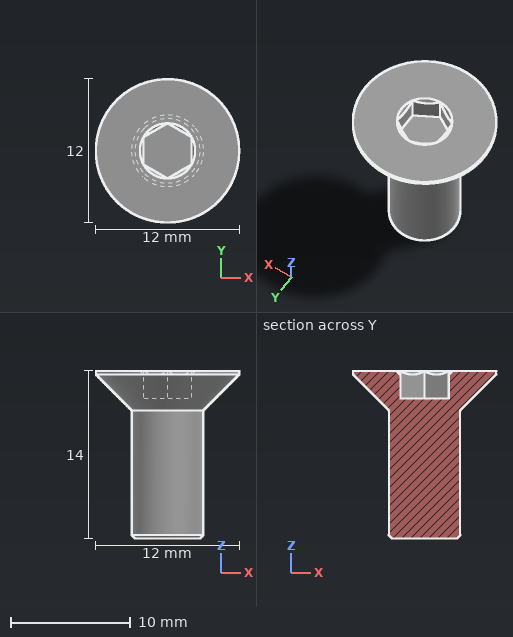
import cadquery as cq
import math

total_length = 14.0
head_diameter = 12.0
shank_diameter = head_diameter / 2
rim_height = 0.3
tip_chamfer = 0.3
socket_across_flats = 4.0
socket_depth = 2.3

head_radius = head_diameter / 2
shank_radius = shank_diameter / 2
rim_bottom = total_length - rim_height
head_bottom = rim_bottom - (head_radius - shank_radius)
socket_across_corners = socket_across_flats / math.cos(math.radians(30))
socket_corner_radius = socket_across_corners / 2
socket_flat_radius = socket_across_flats / 2
lead_in_depth = socket_corner_radius - socket_flat_radius


def make_body():
    """Revolve the half profile of shank and head about Z."""
    return (
        cq.Workplane("XZ")
        .moveTo(0, 0)
        .lineTo(shank_radius - tip_chamfer, 0)
        .lineTo(shank_radius, tip_chamfer)
        .lineTo(shank_radius, head_bottom)
        .lineTo(head_radius, rim_bottom)
        .lineTo(head_radius, total_length)
        .lineTo(0, total_length)
        .close()
        .revolve(360, (0, 0, 0), (0, 1, 0))
    )


def make_socket():
    """Hexagonal recess with two corners on the Y axis."""
    return (
        cq.Workplane("XY")
        .workplane(offset=total_length - socket_depth)
        .transformed(rotate=(0, 0, 90))
        .polygon(6, socket_across_corners)
        .extrude(socket_depth)
    )


def make_lead_in():
    """Cone from the circle through the socket corners down to the middles of the flats."""
    return (
        cq.Workplane("XZ")
        .moveTo(0, total_length)
        .lineTo(socket_corner_radius, total_length)
        .lineTo(socket_flat_radius, total_length - lead_in_depth)
        .lineTo(0, total_length - lead_in_depth)
        .close()
        .revolve(360, (0, 0, 0), (0, 1, 0))
    )


result = make_body().cut(make_socket()).cut(make_lead_in())